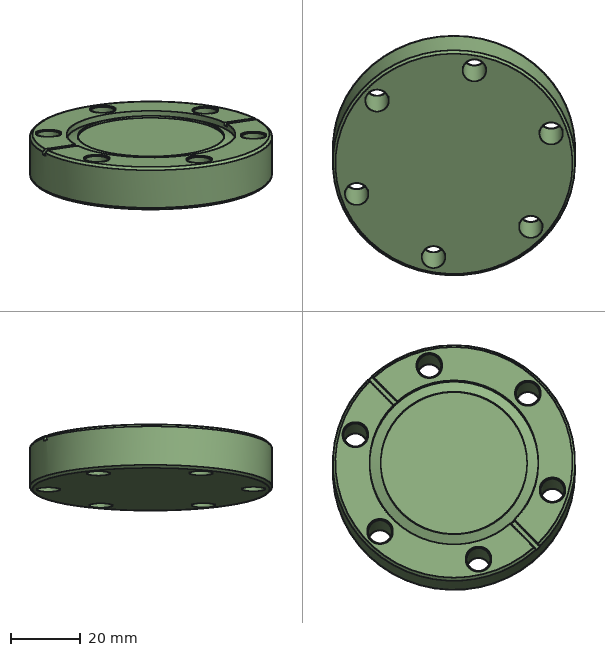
import cadquery as cq
import math

outer_diameter = 69.35
thickness = 12.7
rim_chamfer = 0.75

recess_radius = 24.1
recess_depth = 1.7
knife_edge_radius = 20.95
knife_slope_angle = 20.0
floor_depth = 1.2

bolt_count = 6
bolt_circle_radius = 29.3
bolt_hole_diameter = 6.7
bolt_hole_chamfer = 0.35

groove_width = 1.5
groove_inner_depth = 0.8
groove_outer_depth = 1.5
groove_angle = 60.0

outer_radius = outer_diameter / 2
groove_inner_radius = math.sqrt(recess_radius**2 - (groove_width / 2) ** 2)
knife_rise = (recess_radius - knife_edge_radius) * math.tan(math.radians(knife_slope_angle))


def flange_body():
    """Disc, resting on Z = 0, with both rims chamfered."""
    return cq.Workplane("XY").circle(outer_radius).extrude(thickness).edges().chamfer(rim_chamfer)


def sealing_recess():
    """Revolved void: flat centre, knife edge, then a cone falling to the outer wall."""
    floor_z = thickness - floor_depth
    recess_z = thickness - recess_depth
    return (
        cq.Workplane("XZ")
        .moveTo(0, floor_z)
        .lineTo(knife_edge_radius, floor_z)
        .lineTo(knife_edge_radius, recess_z + knife_rise)
        .lineTo(recess_radius, recess_z)
        .lineTo(recess_radius, thickness)
        .lineTo(0, thickness)
        .close()
        .revolve(360, (0, 0, 0), (0, 1, 0))
    )


def bolt_holes():
    """Through holes, chamfered at the top face, the first one on +Y."""
    bolt_hole_radius = bolt_hole_diameter / 2
    shaft = cq.Workplane("XY").circle(bolt_hole_radius).extrude(thickness)
    chamfer_cone = (
        cq.Workplane("XY", origin=(0, 0, thickness - bolt_hole_chamfer))
        .circle(bolt_hole_radius)
        .workplane(offset=bolt_hole_chamfer)
        .circle(bolt_hole_radius + bolt_hole_chamfer)
        .loft()
    )
    cutter = shaft.union(chamfer_cone).translate((0, bolt_circle_radius, 0))
    holes = cutter
    for i in range(1, bolt_count):
        holes = holes.union(cutter.rotate((0, 0, 0), (0, 0, 1), i * 360 / bolt_count))
    return holes


def leak_check_grooves():
    """Two opposite radial slots whose floors fall from the recess to the rim."""
    slot = (
        cq.Workplane("XZ")
        .moveTo(groove_inner_radius, thickness)
        .lineTo(groove_inner_radius, thickness - groove_inner_depth)
        .lineTo(outer_radius, thickness - groove_outer_depth)
        .lineTo(outer_radius, thickness)
        .close()
        .extrude(groove_width / 2, both=True)
    )
    first = slot.rotate((0, 0, 0), (0, 0, 1), groove_angle)
    second = slot.rotate((0, 0, 0), (0, 0, 1), groove_angle + 180)
    return first.union(second)


result = flange_body().cut(sealing_recess()).cut(bolt_holes()).cut(leak_check_grooves())